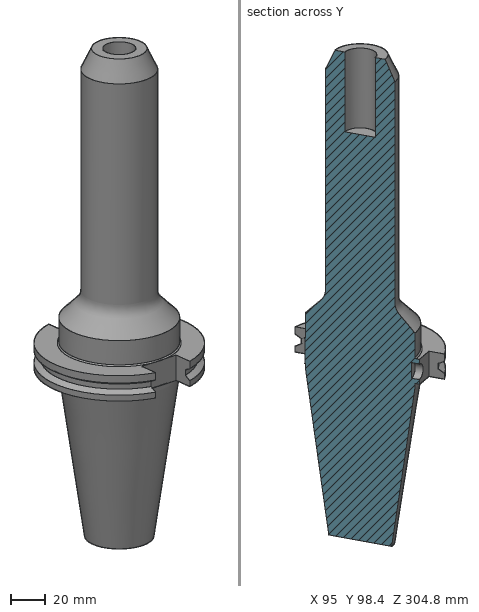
import cadquery as cq
import math

INCH = 25.4

TOTAL_HEIGHT = 12 * INCH
GAUGE_HEIGHT = 4 * INCH
FLANGE_GAP = 0.125 * INCH
FLANGE_THICKNESS = 0.625 * INCH
FLANGE_BOTTOM = GAUGE_HEIGHT + FLANGE_GAP
FLANGE_TOP = FLANGE_BOTTOM + FLANGE_THICKNESS
FLANGE_MIDDLE = (FLANGE_BOTTOM + FLANGE_TOP) / 2

GAUGE_RADIUS = 2.75 * INCH / 2
TAPER_RATIO = 7 / 24
SMALL_END_RADIUS = GAUGE_RADIUS - GAUGE_HEIGHT * TAPER_RATIO / 2

FLANGE_RADIUS = 3.875 * INCH / 2
GROOVE_DEPTH = 3.8
GROOVE_FLOOR_WIDTH = 3.2
GROOVE_CENTRE_OFFSET = 7.5
GROOVE_CENTRE = FLANGE_BOTTOM + GROOVE_CENTRE_OFFSET
GROOVE_FLANK_ANGLE = math.radians(30)
GROOVE_FLANK_RISE = GROOVE_DEPTH * math.tan(GROOVE_FLANK_ANGLE)

SLOT_WIDTH = 25.9
SLOT_FLOOR_LEFT = 37.7
SLOT_FLOOR_RIGHT = 35.3
DIMPLE_DIAMETER = 0.375 * INCH
DIMPLE_DEPTH = 5.0

BODY_RADIUS = GAUGE_RADIUS
BASE_FILLET = 0.8
BODY_TOP = 136.6
TUBE_RADIUS = 1.75 * INCH / 2
SHOULDER_SLOPE = math.radians(45)
BLEND_RADIUS = 10.0
TIP_RADIUS = 16.0
TIP_HEIGHT = 13.0

BORE_DIAMETER = 0.75 * INCH
BORE_DEPTH = 50.0


def make_turned_body():
    """Revolve the half outline, with a round blend between the conical shoulder and the tube."""
    groove_floor = FLANGE_RADIUS - GROOVE_DEPTH
    floor_low = GROOVE_CENTRE - GROOVE_FLOOR_WIDTH / 2
    floor_high = GROOVE_CENTRE + GROOVE_FLOOR_WIDTH / 2

    blend_centre_radius = TUBE_RADIUS + BLEND_RADIUS
    blend_start_radius = blend_centre_radius - BLEND_RADIUS * math.cos(SHOULDER_SLOPE)
    blend_start_height = BODY_TOP + (BODY_RADIUS - blend_start_radius) * math.tan(SHOULDER_SLOPE)
    blend_top = blend_start_height + BLEND_RADIUS * math.sin(SHOULDER_SLOPE)
    blend_mid = (
        blend_centre_radius - BLEND_RADIUS * math.cos(SHOULDER_SLOPE / 2),
        blend_top - BLEND_RADIUS * math.sin(SHOULDER_SLOPE / 2),
    )

    base_fillet_inset = BASE_FILLET * (1 - math.cos(math.radians(45)))
    base_fillet_mid = (BODY_RADIUS + base_fillet_inset, FLANGE_TOP + base_fillet_inset)

    outline = (
        cq.Workplane("XZ")
        .moveTo(0, 0)
        .lineTo(SMALL_END_RADIUS, 0)
        .lineTo(GAUGE_RADIUS, GAUGE_HEIGHT)
        .lineTo(GAUGE_RADIUS, FLANGE_BOTTOM)
        .lineTo(FLANGE_RADIUS, FLANGE_BOTTOM)
        .lineTo(FLANGE_RADIUS, floor_low - GROOVE_FLANK_RISE)
        .lineTo(groove_floor, floor_low)
        .lineTo(groove_floor, floor_high)
        .lineTo(FLANGE_RADIUS, floor_high + GROOVE_FLANK_RISE)
        .lineTo(FLANGE_RADIUS, FLANGE_TOP)
        .lineTo(BODY_RADIUS + BASE_FILLET, FLANGE_TOP)
        .threePointArc(base_fillet_mid, (BODY_RADIUS, FLANGE_TOP + BASE_FILLET))
        .lineTo(BODY_RADIUS, BODY_TOP)
        .lineTo(blend_start_radius, blend_start_height)
        .threePointArc(blend_mid, (TUBE_RADIUS, blend_top))
        .lineTo(TUBE_RADIUS, TOTAL_HEIGHT - TIP_HEIGHT)
        .lineTo(TIP_RADIUS, TOTAL_HEIGHT)
        .lineTo(0, TOTAL_HEIGHT)
        .close()
    )
    return outline.revolve(360, (0, 0, 0), (0, 1, 0))


def make_drive_slot(side, floor_distance):
    """Block that opens the flange from its rim to a flat floor; side is -1 or +1 along X."""
    length = FLANGE_RADIUS
    return cq.Workplane("XY").box(length, SLOT_WIDTH, FLANGE_THICKNESS).translate(
        (side * (floor_distance + length / 2), 0, FLANGE_MIDDLE)
    )


def make_dimple():
    """Round blind hole in the floor of the -X drive slot."""
    return (
        cq.Workplane("YZ", origin=(-SLOT_FLOOR_LEFT, 0, FLANGE_MIDDLE))
        .circle(DIMPLE_DIAMETER / 2)
        .extrude(DIMPLE_DEPTH)
    )


def make_tool_bore():
    """Blind bore down from the nose."""
    return (
        cq.Workplane("XY", origin=(0, 0, TOTAL_HEIGHT - BORE_DEPTH))
        .circle(BORE_DIAMETER / 2)
        .extrude(BORE_DEPTH)
    )


result = (
    make_turned_body()
    .cut(make_drive_slot(-1, SLOT_FLOOR_LEFT))
    .cut(make_drive_slot(1, SLOT_FLOOR_RIGHT))
    .cut(make_dimple())
    .cut(make_tool_bore())
)